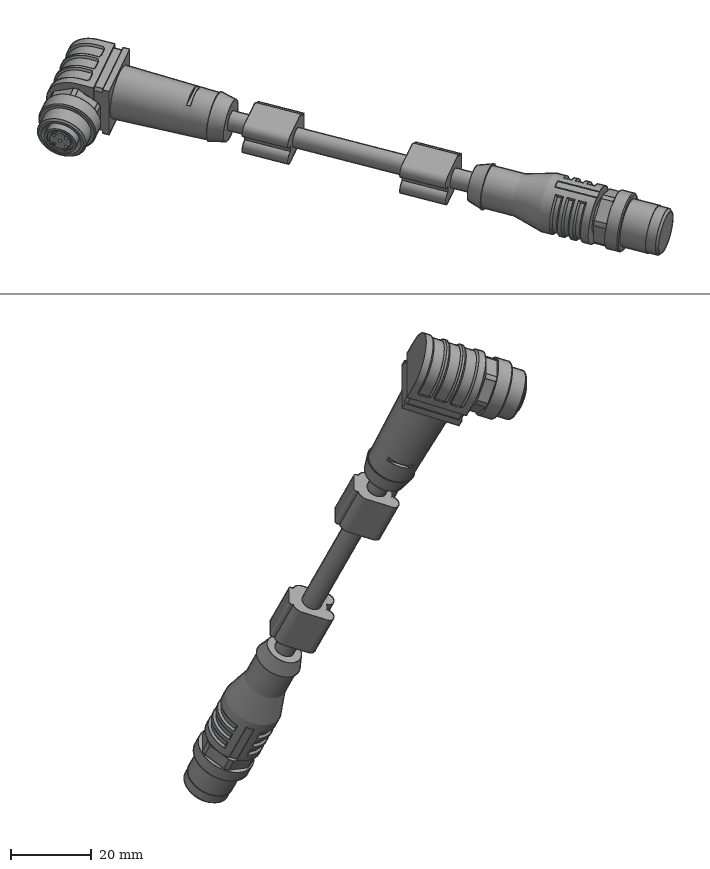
import cadquery as cq


body_radius = 8.0
total_length = 160.2
plug_end = total_length - body_radius

cable_diameter = 5.1

body_half_width = body_radius
cap_start = 4.3
flange_start = 6.5
flange_end = 8.3
cap_half_height = 7.5
cap_bevel = 0.72
flange_half_width = 7.7
flange_half_height = 7.8
grip_depth = 0.5
grip_count = 3
grip_end = 2.4
grip_pitch = 4.3
grip_width = 3.7
grip_corner_radius = 0.8

relief_root_radius = 6.9
relief_tip_radius = 6.1
relief_collar_start = 33.5
relief_collar_radius = 6.4
relief_end = 37.6
relief_end_radius = 5.5
slot_position = 27.2
slot_width = 1.0
slot_floor = 5.3

nut_flats = 12.8
nut_corner_diameter = 14.1
nut_ring_diameter = 15.0
nut_ring_chamfer = 0.3

socket_neck_diameter = 10.5
socket_nut_start = 8.8
socket_ring_start = 11.7
socket_ring_end = 15.5
socket_sleeve_end = 19.9
socket_sleeve_diameter = 12.8
socket_sleeve_chamfer = 0.5
socket_insert_end = 20.7
socket_insert_diameter = 8.3
socket_gap_diameter = 10.5
socket_gap_depth = 1.6
contact_diameter = 0.9
contact_circle_radius = 2.2
contact_count = 4
contact_first_angle = 45
contact_depth = 3.2
face_groove_outer_diameter = 7.0
face_groove_inner_diameter = 5.6
face_groove_depth = 0.5

plug_start = 101.5
plug_start_radius = 4.6
plug_collar_end = 105.4
plug_collar_radius = 6.0
plug_waist_radius = 5.5
plug_cone_start = 113.7
plug_grip_start = 121.4
plug_grip_end = 134.4
plug_grip_radius = 7.5
plug_neck_diameter = 9.3
plug_nut_start = 135.3
plug_ring_start = 138.7
plug_ring_end = 142.2
plug_sleeve_diameter = 12.3
plug_sleeve_end = 149.0
plug_tip_diameter = 12.0
plug_tip_chamfer = 0.6
plug_groove_first = 125.3
plug_groove_pitch = 3.0
plug_groove_width = 2.1
plug_groove_count = 3
plug_groove_depth = 0.6
plug_groove_slope = 0.5
plug_groove_inner_y = 3.0
key_start = 123.3
key_width = 2.1
key_depth = 0.3

clip_starts = [42.8, 84.2]
clip_length = 12.0
clip_half_width = 6.1
clip_half_height = 4.8
clip_lip_radius = 2.0
clip_shoulder_radius = 2.4
clip_shoulder_y = 2.5
clip_back_half_height = 3.0
clip_back_round = 0.6


def turned(profile):
    """Solid of revolution about X from (x, radius) pairs."""
    outline = [(profile[0][0], 0), *profile, (profile[-1][0], 0)]
    return cq.Workplane("XY").polyline(outline).close().revolve(360, (0, 0, 0), (1, 0, 0))


def cylinder(start, end, diameter):
    """Cylinder along the X axis."""
    return cq.Workplane("YZ", origin=(start, 0, 0)).circle(diameter / 2).extrude(end - start)


def block(x_start, x_end, half_width, half_height):
    """Box between two stations on X, centred on the X axis."""
    section = cq.Workplane("YZ", origin=(x_start, 0, 0)).rect(2 * half_width, 2 * half_height)
    return section.extrude(x_end - x_start)


def coupling_nut(start, ring_start, ring_end):
    """Hexagon with flats on +-Y and turned-down corners, followed by a round ring."""
    hexagon = (
        cq.Workplane("YZ", origin=(start, 0, 0))
        .polygon(6, nut_flats, circumscribed=True)
        .extrude(ring_start - start)
    )
    hexagon = hexagon.intersect(cylinder(start, ring_start, nut_corner_diameter))
    ring = cylinder(ring_start, ring_end, nut_ring_diameter).edges(">X").chamfer(nut_ring_chamfer)
    return hexagon.union(ring)


def stadium(radius, x_end, y_center, width):
    """Half-round block about the Y axis, running straight on to x_end."""
    return (
        cq.Workplane("XZ", origin=(0, y_center + width / 2, 0))
        .moveTo(x_end, radius)
        .lineTo(0, radius)
        .threePointArc((-radius, 0), (0, -radius))
        .lineTo(x_end, -radius)
        .close()
        .extrude(width)
    )


def angled_body():
    """Half-round housing with a bevelled cap and flange on +X and wrap-around grip pockets."""
    body = stadium(body_radius, cap_start, 0, 2 * body_half_width)
    cap = block(0, flange_end, flange_half_width, cap_half_height)
    body = body.union(cap.edges("|X").chamfer(cap_bevel))
    body = body.union(block(flange_start, flange_end, flange_half_width, flange_half_height))
    floor = stadium(body_radius - grip_depth, grip_end, 0, 2 * body_half_width)
    rib_width = grip_pitch - grip_width + 2 * grip_depth
    first_rib_y = -grip_count * grip_pitch / 2
    for i in range(grip_count + 1):
        rib = stadium(body_radius, cap_start, first_rib_y + i * grip_pitch, rib_width)
        floor = floor.union(rib.faces("<Y or >Y").chamfer(grip_depth))
    first_pocket_y = first_rib_y + grip_pitch / 2
    for i in range(grip_count):
        pocket = stadium(2 * body_radius, grip_end, first_pocket_y + i * grip_pitch, grip_width)
        pocket = pocket.edges("|Z and >X").fillet(grip_corner_radius)
        body = body.cut(pocket.cut(floor))
    return body


def strain_relief():
    """Tapered sleeve with an end collar and a shallow slot across its top and bottom."""
    relief = turned([
        (0, relief_root_radius),
        (flange_end, relief_root_radius),
        (relief_collar_start, relief_tip_radius),
        (relief_collar_start, relief_collar_radius),
        (relief_end, relief_end_radius),
    ])
    slots = block(slot_position, slot_position + slot_width, body_radius, body_radius)
    return relief.cut(slots.cut(block(0, relief_end, body_radius, slot_floor)))


def socket():
    """Socket end along +X, to be turned towards -Y."""
    sleeve = cylinder(socket_ring_end, socket_sleeve_end, socket_sleeve_diameter)
    sleeve = sleeve.edges(">X").chamfer(socket_sleeve_chamfer)
    gap_bottom = socket_sleeve_end - socket_gap_depth
    gap = turned([(gap_bottom, socket_insert_diameter / 2), (socket_sleeve_end, socket_gap_diameter / 2)])
    sleeve = sleeve.cut(gap)
    part = cylinder(0, socket_insert_end, socket_insert_diameter).union(sleeve)
    part = part.union(cylinder(0, socket_nut_start, socket_neck_diameter))
    part = part.union(coupling_nut(socket_nut_start, socket_ring_start, socket_ring_end))
    contacts = (
        cq.Workplane("YZ", origin=(socket_insert_end, 0, 0))
        .polarArray(contact_circle_radius, contact_first_angle, 360, contact_count)
        .circle(contact_diameter / 2)
        .extrude(-contact_depth)
    )
    part = part.cut(contacts)
    part = part.cut(cylinder(socket_insert_end - contact_depth, socket_insert_end, contact_diameter))
    face_groove = (
        cq.Workplane("YZ", origin=(socket_insert_end, 0, 0))
        .circle(face_groove_outer_diameter / 2)
        .circle(face_groove_inner_diameter / 2)
        .extrude(-face_groove_depth)
    )
    return part.cut(face_groove)


def plug():
    """Straight plug: tapered grip with side grooves and flat slots, coupling nut and sleeve."""
    part = turned([
        (plug_start, plug_start_radius),
        (plug_collar_end, plug_collar_radius),
        (plug_collar_end, plug_waist_radius),
        (plug_cone_start, plug_waist_radius),
        (plug_grip_start, plug_grip_radius),
        (plug_grip_end, plug_grip_radius),
    ])
    floor_radius = plug_grip_radius - plug_groove_depth
    middle = block(plug_start, plug_grip_end, plug_groove_inner_y, 2 * plug_grip_radius)
    for i in range(plug_groove_count):
        start = plug_groove_first + i * plug_groove_pitch - plug_groove_width / 2
        end = start + plug_groove_width
        floor = turned([
            (start, plug_grip_radius),
            (start + plug_groove_slope, floor_radius),
            (end - plug_groove_slope, floor_radius),
            (end, plug_grip_radius),
        ])
        part = part.cut(cylinder(start, end, 3 * plug_grip_radius).cut(floor).cut(middle))
    key_bars = block(key_start, plug_grip_end, key_width / 2, plug_grip_radius)
    key_core = block(key_start, plug_grip_end, key_width, plug_grip_radius - key_depth)
    part = part.cut(key_bars.cut(key_core))
    part = part.union(cylinder(plug_grip_end, plug_nut_start, plug_neck_diameter))
    part = part.union(coupling_nut(plug_nut_start, plug_ring_start, plug_ring_end))
    part = part.union(cylinder(plug_ring_end, plug_sleeve_end, plug_sleeve_diameter))
    tip = cylinder(plug_sleeve_end, plug_end, plug_tip_diameter).edges(">X").chamfer(plug_tip_chamfer)
    return part.union(tip)


def clip(start):
    """Snap-on clip: two round lips on -Y, round shoulders and a lower back on +Y."""
    lip_y = clip_lip_radius - clip_half_width
    lip_z = clip_half_height - clip_lip_radius
    shoulder_z = clip_half_height - clip_shoulder_radius
    end = start + clip_length
    core_half_width = (clip_shoulder_y - lip_y) / 2
    core = block(start, end, core_half_width, clip_half_height)
    part = core.translate((0, lip_y + core_half_width, 0))
    back = block(start, end, clip_half_width / 2, clip_back_half_height)
    back = back.edges("|X and >Y").fillet(clip_back_round)
    part = part.union(back.translate((0, clip_half_width / 2, 0)))
    for side in (1, -1):
        lip = cylinder(start, end, 2 * clip_lip_radius)
        part = part.union(lip.translate((0, lip_y, side * lip_z)))
        shoulder = cylinder(start, end, 2 * clip_shoulder_radius)
        part = part.union(shoulder.translate((0, clip_shoulder_y, side * shoulder_z)))
    return part


result = cylinder(0, plug_grip_end, cable_diameter)
result = result.union(strain_relief()).union(angled_body())
result = result.union(socket().rotate((0, 0, 0), (0, 0, 1), -90))
result = result.union(plug())
for clip_start in clip_starts:
    result = result.union(clip(clip_start))